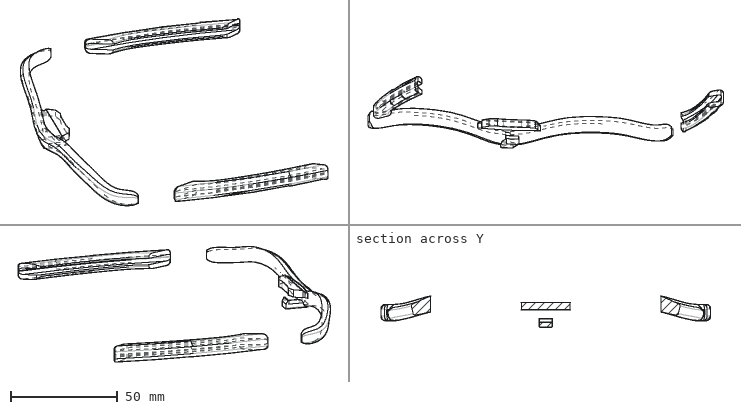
import cadquery as cq
import math


STRIP_BOTTOM = 3.1
STRIP_HEIGHT = 7.7
STRIP_MID_Z = STRIP_BOTTOM + STRIP_HEIGHT / 2
STRIP_OUTER_ROUND = 2.2
STRIP_INNER_ROUND = 1.5

OUTER_BOW_X = 77.3
OUTER_BOW_Y = 78.5
OUTER_BOW_RADIUS = 332.3
STRIP_REAR_Y = 120.4
STRIP_FRONT_Y = 45.3
TIP_WIDTH = 1.2

INNER_EDGE = [(69.4, 112.8), (69.4, 110.7), (71.1, 93.7), (71.9, 76.7), (71.5, 64.9), (70.0, 57.5)]

STRIP_REAR_ROUND = 1.5
STRIP_FRONT_ROUND = 2.3

SLOT_HEIGHT = 3.1
SLOT_WALL = 1.1
SLOT_ROUND = 1.4

BOW_SECTIONS = [
    (0, 0, 0, 4.5, 1.4, 9.7, 1.9, 0.6),
    (7.0, 0.6, 6, 4.5, 2.0, 10.0, 1.5, 0.6),
    (16.2, 2.0, 4, 4.5, 4.6, 11.9, 1.4, 0.6),
    (26.3, 2.8, 4, 4.3, 7.1, 14.5, 1.4, 0.6),
    (43.3, 4.6, 12, 4.3, 8.3, 15.8, 1.1, 0.8),
    (55.6, 8.3, 20, 3.9, 7.1, 14.7, 0.6, 1.0),
    (64.9, 13.0, 33, 3.2, 4.6, 12.2, 0.3, 1.2),
    (70.0, 17.5, 53, 2.8, 3.5, 11.1, 0.2, 1.5),
    (72.6, 23.2, 70, 2.2, 3.2, 10.8, 0, 1.5),
    (73.9, 28.0, 78, 1.0, 4.8, 9.0, 0, 1.5),
]
TOP_DROP = 0.35
TOP_ROUND = 1.2

PAD_HALF_WIDTH = 13.6
PAD_BOTTOM = 8.2
PAD_TOP = 11.7
PAD_FRONT_Y = 4.0
PAD_FRONT_TOP = 9.3
PAD_STEP_Y = 8.3
PAD_STEP = 0.3
PAD_REAR_Y = 13.6

PAD_ROOT_HALF_WIDTH = 15.1
PAD_OUTLINE = [
    (PAD_ROOT_HALF_WIDTH, PAD_FRONT_Y),
    (PAD_ROOT_HALF_WIDTH, 6.6),
    (PAD_HALF_WIDTH, 7.4),
    (PAD_HALF_WIDTH, PAD_STEP_Y),
    (11.3, 12.4),
    (7.4, PAD_REAR_Y),
    (4.3, 13.0),
]

LUG_HALF_WIDTH = 3.1
LUG_TOP = 2.5
LUG_REAR_Y = 13.3
LUG_ROUND = 0.6
HOOK_TOP = 4.2
HOOK_FRONT_Y = 11.9
HOOK_CREST_Y = 12.4
WEB_REAR_Y = 4.5
WEB_TOP = 7.0
LUG_FRONT_Y = 2.6
WEB_FRONT_Y = 1.9


def outer_bow_x(y):
    """X of the strip's outer face at a given Y."""
    rise = y - OUTER_BOW_Y
    return OUTER_BOW_X - OUTER_BOW_RADIUS + math.sqrt(OUTER_BOW_RADIUS ** 2 - rise ** 2)


def make_strip(side):
    """Side strip at +X (side = 1) or -X (side = -1)."""
    rear = (outer_bow_x(STRIP_REAR_Y), STRIP_REAR_Y)
    front = (outer_bow_x(STRIP_FRONT_Y), STRIP_FRONT_Y)
    body = (
        cq.Workplane("XY", origin=(0, 0, STRIP_BOTTOM))
        .moveTo(*front)
        .threePointArc((OUTER_BOW_X, OUTER_BOW_Y), rear)
        .lineTo(rear[0] - TIP_WIDTH, STRIP_REAR_Y)
        .lineTo(*INNER_EDGE[0])
        .lineTo(*INNER_EDGE[1])
        .spline(INNER_EDGE[2:], includeCurrent=True)
        .lineTo(front[0] - TIP_WIDTH, STRIP_FRONT_Y)
        .close()
        .extrude(STRIP_HEIGHT)
    )
    body = body.faces("|Z").edges("%CIRCLE").fillet(STRIP_OUTER_ROUND)
    body = body.faces("|Z").edges("%BSPLINE").fillet(STRIP_INNER_ROUND)

    slot = (
        cq.Workplane("XY", origin=(OUTER_BOW_X - OUTER_BOW_RADIUS, OUTER_BOW_Y, STRIP_MID_Z))
        .cylinder(SLOT_HEIGHT, OUTER_BOW_RADIUS - SLOT_WALL)
        .edges().fillet(SLOT_ROUND)
    )
    body = body.cut(slot)

    length = STRIP_REAR_Y - STRIP_FRONT_Y
    side_shape = (
        cq.Workplane("XY", origin=(OUTER_BOW_X, STRIP_FRONT_Y + length / 2, STRIP_MID_Z))
        .box(OUTER_BOW_X, length, STRIP_HEIGHT)
        .faces(">Y").edges("|X").fillet(STRIP_REAR_ROUND)
        .faces("<Y").edges("|X").fillet(STRIP_FRONT_ROUND)
    )
    body = body.intersect(side_shape)
    return body if side > 0 else body.mirror("YZ")


def bow_section(x, y, heading, thickness, bottom, top, lean, bottom_round):
    """Upright section wire: rounded leaning outer face, sloped top, plain inner face."""
    angle = math.radians(heading)
    plane = cq.Plane(
        origin=(x, y, 0),
        xDir=(-math.sin(angle), math.cos(angle), 0),
        normal=(math.cos(angle), math.sin(angle), 0),
    )
    face_top = top - TOP_DROP * (top - bottom)
    top_round = min(TOP_ROUND, thickness / 2)
    low_round = min(bottom_round, thickness / 2)
    bend = 1 - math.sqrt(0.5)
    return (
        cq.Workplane(plane)
        .moveTo(lean, bottom + low_round)
        .lineTo(0, face_top)
        .threePointArc(
            (top_round * bend, face_top + top_round * (1 - bend)),
            (top_round, face_top + top_round),
        )
        .lineTo(thickness, top)
        .lineTo(thickness, bottom)
        .lineTo(lean + low_round, bottom)
        .threePointArc(
            (lean + low_round * bend, bottom + low_round * bend),
            (lean, bottom + low_round),
        )
        .close()
        .val()
    )


def make_bow_bar():
    wires = [bow_section(*section) for section in BOW_SECTIONS]
    half = cq.Workplane(obj=cq.Solid.makeLoft(wires))
    return half.union(half.mirror("YZ"))


def make_pad():
    profile = (
        cq.Workplane("YZ")
        .polyline([
            (PAD_FRONT_Y, PAD_BOTTOM),
            (PAD_FRONT_Y, PAD_FRONT_TOP),
            (PAD_STEP_Y, PAD_TOP - PAD_STEP),
            (PAD_STEP_Y, PAD_TOP),
            (PAD_REAR_Y, PAD_TOP),
            (PAD_REAR_Y, PAD_BOTTOM),
        ])
        .close()
        .extrude(PAD_ROOT_HALF_WIDTH, both=True)
    )
    left_outline = [(-x, y) for x, y in reversed(PAD_OUTLINE)]
    outline = (
        cq.Workplane("XY")
        .polyline(PAD_OUTLINE + left_outline)
        .close()
        .extrude(PAD_TOP)
    )
    return profile.intersect(outline)


def make_lug():
    return (
        cq.Workplane("YZ")
        .polyline([
            (LUG_FRONT_Y, 0),
            (LUG_REAR_Y, 0),
            (LUG_REAR_Y, LUG_TOP),
            (HOOK_CREST_Y, HOOK_TOP),
            (HOOK_FRONT_Y, HOOK_TOP),
            (HOOK_FRONT_Y, LUG_TOP),
            (WEB_REAR_Y, LUG_TOP),
            (WEB_REAR_Y, WEB_TOP),
            (WEB_FRONT_Y, WEB_TOP),
            (WEB_FRONT_Y, LUG_TOP),
        ])
        .close()
        .extrude(LUG_HALF_WIDTH, both=True)
        .faces("<Z").edges("|Y").fillet(LUG_ROUND)
    )


def make_bow():
    return make_bow_bar().union(make_pad()).union(make_lug())


bow = make_bow()
strips = [make_strip(side) for side in (1, -1)]

result = cq.Compound.makeCompound([bow.val(), *[strip.val() for strip in strips]])